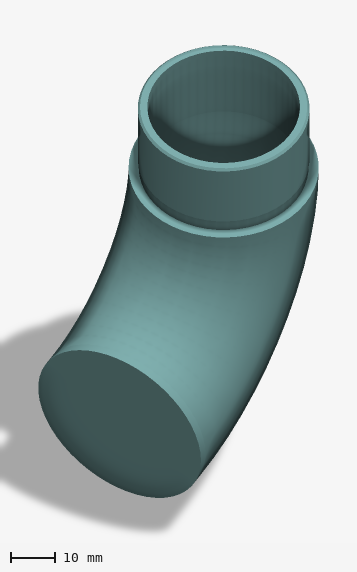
import cadquery as cq

overall_height = 84.0
elbow_diameter = 42.4
bore_diameter = 34.0
spigot_diameter = 38.3
neck_diameter = 37.9
spigot_length = 20.0
neck_length = 3.0
cap_thickness = 2.0
rim_chamfer = 0.5

bend_radius = overall_height - spigot_length - elbow_diameter / 2

shoulder_z = bend_radius
cap_y = -bend_radius


def quarter_bend(diameter):
    """Quarter torus from the horizontal shoulder down to the vertical cap plane."""
    return (
        cq.Workplane("XY", origin=(0, 0, shoulder_z))
        .circle(diameter / 2)
        .revolve(90, (0, cap_y, 0), (-1, cap_y, 0))
    )


def upright_cylinder(diameter, bottom_z, height):
    """Cylinder on the spigot axis, rising from bottom_z."""
    return cq.Workplane("XY", origin=(0, 0, bottom_z)).circle(diameter / 2).extrude(height)


cap = (
    cq.Workplane("XZ", origin=(0, cap_y, 0))
    .circle(elbow_diameter / 2)
    .extrude(cap_thickness)
)

neck = upright_cylinder(neck_diameter, shoulder_z, neck_length)
spigot = (
    upright_cylinder(spigot_diameter, shoulder_z + neck_length, spigot_length - neck_length)
    .faces(">Z")
    .edges()
    .chamfer(rim_chamfer)
)

spigot_bore = upright_cylinder(bore_diameter, shoulder_z, spigot_length)
bore = spigot_bore.union(quarter_bend(bore_diameter))

result = quarter_bend(elbow_diameter).union(cap).union(neck).union(spigot).cut(bore)